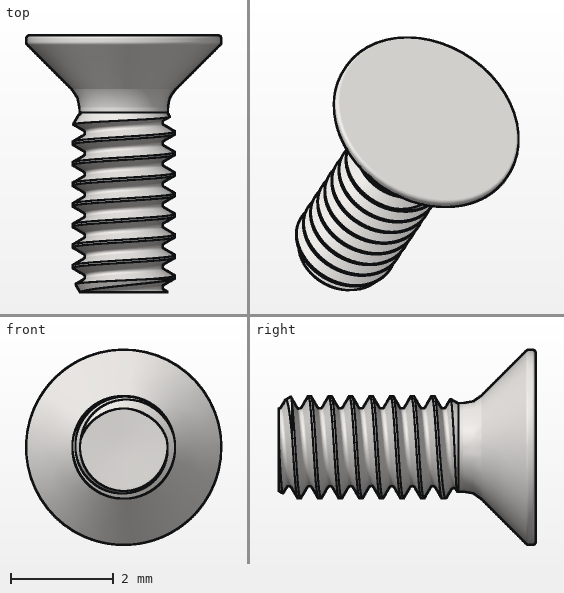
import cadquery as cq
import math

LENGTH = 5.0
HEAD_RADIUS = 1.9
NECK_RADIUS = 0.865
THREAD_LENGTH = 3.5

HEAD_CORNER_HEIGHT = 4.835
TOP_EDGE_FILLET = 0.07
RIM_FILLET = 0.06
NECK_FILLET = 0.5

PITCH = 0.4
MAJOR_RADIUS = 1.0
END_RADIUS = 0.85
END_CHAMFER_LENGTH = (MAJOR_RADIUS - END_RADIUS) / math.tan(math.radians(30))
FLANK_ANGLE = math.radians(30)
FLANK_SLOPE = math.tan(FLANK_ANGLE)
TRIANGLE_HEIGHT = PITCH / (2 * FLANK_SLOPE)
CREST_WIDTH = PITCH / 8
ROOT_RADIUS = TRIANGLE_HEIGHT / 6
GROOVE_OVERCUT = 0.04
GROOVE_START = PITCH / 4 - PITCH
FULL_DEPTH_TURNS = 9
RUNOUT_TURNS = 1
CYLINDRICAL = 360
RUNOUT_ANGLE = 22

DISH_RADIUS = 0.8
DISH_DEPTH = 0.03


def make_head():
    """Head and neck as one solid of revolution."""
    cone_end = HEAD_CORNER_HEIGHT - (HEAD_RADIUS - NECK_RADIUS)
    head = (
        cq.Workplane("XY")
        .moveTo(0, THREAD_LENGTH)
        .lineTo(NECK_RADIUS, THREAD_LENGTH)
        .lineTo(NECK_RADIUS, cone_end)
        .lineTo(HEAD_RADIUS, HEAD_CORNER_HEIGHT)
        .lineTo(HEAD_RADIUS, LENGTH)
        .lineTo(0, LENGTH)
        .close()
        .revolve(360, (0, 0, 0), (0, 1, 0))
    )

    def edge_at(height):
        return cq.selectors.BoxSelector(
            (-HEAD_RADIUS, height - 0.005, -HEAD_RADIUS),
            (HEAD_RADIUS, height + 0.005, HEAD_RADIUS),
            boundingbox=False,
        )

    head = head.edges("%CIRCLE").edges(edge_at(cone_end)).fillet(NECK_FILLET)
    head = head.edges("%CIRCLE").edges(edge_at(HEAD_CORNER_HEIGHT)).fillet(RIM_FILLET)
    return head.faces(">Y").edges().fillet(TOP_EDGE_FILLET)


def make_thread_blank():
    """Cylinder at the crest diameter, chamfered at both ends, drawn on its -X side."""
    return (
        cq.Workplane("XY")
        .lineTo(-END_RADIUS, 0)
        .lineTo(-MAJOR_RADIUS, END_CHAMFER_LENGTH)
        .lineTo(-MAJOR_RADIUS, THREAD_LENGTH - END_CHAMFER_LENGTH)
        .lineTo(-END_RADIUS, THREAD_LENGTH)
        .lineTo(0, THREAD_LENGTH)
        .close()
        .revolve(360, (0, 0, 0), (0, 1, 0))
    )


def make_groove(start, turns, taper_angle=CYLINDRICAL):
    """Helical V groove with a rounded root, swept about Z and then turned onto Y.

    It starts on the +X side, and with a taper angle it moves outwards as it climbs.
    """
    outer_radius = MAJOR_RADIUS + GROOVE_OVERCUT
    outer_half_width = (PITCH - CREST_WIDTH) / 2 + GROOVE_OVERCUT * FLANK_SLOPE
    apex_radius = outer_radius - outer_half_width / FLANK_SLOPE
    root_bottom = apex_radius + ROOT_RADIUS
    tangent_half_width = ROOT_RADIUS * math.cos(FLANK_ANGLE)
    tangent_radius = apex_radius + tangent_half_width / FLANK_SLOPE

    profile = (
        cq.Workplane("XZ")
        .moveTo(outer_radius, -outer_half_width)
        .lineTo(tangent_radius, -tangent_half_width)
        .threePointArc((root_bottom, 0), (tangent_radius, tangent_half_width))
        .lineTo(outer_radius, outer_half_width)
        .close()
    )
    slant_pitch = PITCH / math.cos(math.radians(taper_angle))
    path = cq.Wire.makeHelix(slant_pitch, turns * slant_pitch, MAJOR_RADIUS, angle=taper_angle)
    groove = profile.sweep(cq.Workplane(path), isFrenet=True)
    return groove.rotate((0, 0, 0), (1, 0, 0), -90).translate((0, start, 0))


def make_dish():
    """Cone that hollows the tip face."""
    return (
        cq.Workplane("XY")
        .lineTo(-DISH_RADIUS, 0)
        .lineTo(0, DISH_DEPTH)
        .close()
        .revolve(360, (0, 0, 0), (0, 1, 0))
    )


runout_start = GROOVE_START + FULL_DEPTH_TURNS * PITCH
threaded_body = (
    make_thread_blank()
    .cut(make_groove(runout_start, RUNOUT_TURNS, RUNOUT_ANGLE))
    .cut(make_groove(GROOVE_START, FULL_DEPTH_TURNS))
    .cut(make_dish())
)
result = threaded_body.union(make_head())